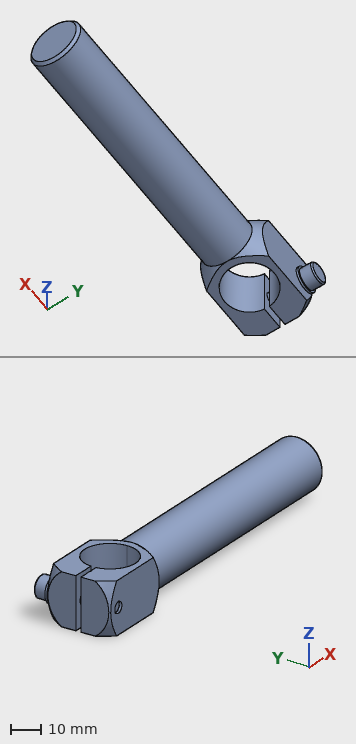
import cadquery as cq

total_length = 132.0

rod_diameter = 20.0
rod_end_chamfer = 1.0
block_length = 32.0
block_width = 25.0
block_height = rod_diameter
slotted_end_radius = 12.0
rod_side_radius = rod_diameter / 2
bore_diameter = 20.0
bore_x = 19.0
slot_width = 2.0

screw_x = 5.0
shank_diameter = 5.0
head_diameter = 8.5
head_height = 5.0
head_chamfer = 0.5
washer_diameter = 10.0
washer_thickness = 0.8
outlet_diameter = 4.2
outlet_depth = 1.0

block_side = block_width / 2
washer_top = block_side + washer_thickness
shank_end = outlet_depth - block_side


def y_cylinder(diameter, y_start, y_end):
    """Cylinder on the screw axis between two Y positions."""
    return cq.Workplane(
        cq.Solid.makeCylinder(
            diameter / 2, y_end - y_start, cq.Vector(screw_x, y_start, 0), cq.Vector(0, 1, 0)
        )
    )


def make_block():
    """Rectangular block whose corners are turned to a 45 degree cone at each end."""
    box = cq.Workplane().box(block_length, block_width, block_height, centered=(False, True, True))
    peak_radius = (block_length + slotted_end_radius + rod_side_radius) / 2
    turned_blank = (
        cq.Workplane("XY")
        .moveTo(0, 0)
        .lineTo(0, slotted_end_radius)
        .lineTo(peak_radius - slotted_end_radius, peak_radius)
        .lineTo(block_length, rod_side_radius)
        .lineTo(block_length, 0)
        .close()
        .revolve(360, (0, 0, 0), (1, 0, 0))
    )
    return box.intersect(turned_blank)


def make_rod():
    """Round rod from the end of the block, chamfered at its free end."""
    return (
        cq.Workplane("YZ", origin=(block_length, 0, 0))
        .circle(rod_diameter / 2)
        .extrude(total_length - block_length)
        .faces(">X")
        .chamfer(rod_end_chamfer)
    )


def make_clamp():
    """Block and rod in one piece, with the cross bore, clamping slot and screw hole."""
    bore = cq.Workplane().center(bore_x, 0).circle(bore_diameter / 2).extrude(block_height, both=True)
    slot = cq.Workplane().box(bore_x, slot_width, block_height, centered=(False, True, True))
    screw_hole = y_cylinder(shank_diameter, shank_end, block_side)
    outlet = y_cylinder(outlet_diameter, -block_side, shank_end)
    return make_block().union(make_rod()).cut(bore).cut(slot).cut(screw_hole).cut(outlet)


def make_washer():
    """Flat washer between the screw head and the block."""
    disc = y_cylinder(washer_diameter, block_side, washer_top)
    return disc.cut(y_cylinder(shank_diameter, block_side, washer_top))


def make_screw():
    """Clamping screw with a cylindrical head, chamfered on its outer rim."""
    head = y_cylinder(head_diameter, washer_top, washer_top + head_height).faces(">Y").chamfer(head_chamfer)
    return head.union(y_cylinder(shank_diameter, shank_end, washer_top))


clamp = make_clamp()
washer = make_washer()
screw = make_screw()

result = cq.Compound.makeCompound([body.solids().val() for body in (clamp, washer, screw)])